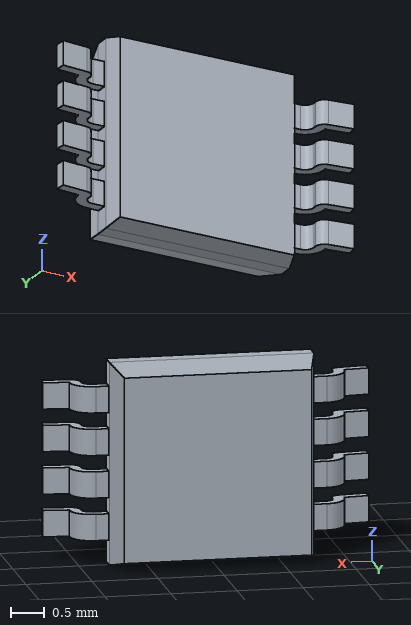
import cadquery as cq
import math

body_size = 3.1
total_height = 1.1
standoff = 0.05
band_bottom = 0.35
band_top = 0.60
draft_angle = 15.0

lead_span = 4.94
arm_top = 0.572
lead_width = 0.405
lead_thickness = 0.18
lead_pitch = 0.65
leads_per_side = 4
shank_outer_x = 2.08
shoulder_inner_radius = 0.15
heel_radius = 0.15
foot_angle = 6.0


def square_section(y, side):
    """Square wire centred on the Y axis, in the plane at height y."""
    half = side / 2
    return cq.Wire.makePolygon(
        [(-half, y, -half), (half, y, -half), (half, y, half), (-half, y, half)],
        close=True,
    )


def make_body():
    """Moulded body as a ruled loft through four square sections."""
    taper = math.tan(math.radians(draft_angle))
    lower_face_side = body_size - 2 * (band_bottom - standoff) * taper
    upper_face_side = body_size - 2 * (total_height - band_top) * taper
    sections = [
        square_section(standoff, lower_face_side),
        square_section(band_bottom, body_size),
        square_section(band_top, body_size),
        square_section(total_height, upper_face_side),
    ]
    return cq.Workplane(cq.Solid.makeLoft(sections, True))


def point_on_circle(center, radius, degrees):
    """Point of a circle in the XY plane, with the angle taken from +X towards +Y."""
    angle = math.radians(degrees)
    return (center[0] + radius * math.cos(angle), center[1] + radius * math.sin(angle))


def make_lead(z_center):
    """Lead on the +X side, extruded along Z from its bent profile."""
    slope = math.radians(foot_angle)
    sin_slope = math.sin(slope)
    cos_slope = math.cos(slope)
    tan_slope = math.tan(slope)

    root_x = body_size / 2
    arm_bottom = arm_top - lead_thickness
    shank_inner_x = shank_outer_x - lead_thickness
    shoulder_outer_radius = shoulder_inner_radius + lead_thickness
    shoulder_x = shank_inner_x - shoulder_inner_radius
    shoulder_y = arm_bottom - shoulder_inner_radius
    shoulder_center = (shoulder_x, shoulder_y)
    shoulder_mid_angle = 90 / 2

    tip_top_x = lead_span / 2
    tip_top_y = lead_thickness * cos_slope
    tip_bottom_x = tip_top_x - lead_thickness * sin_slope
    foot_corner_y = tip_top_y + (tip_top_x - shank_outer_x) * tan_slope

    heel_x = shank_inner_x + heel_radius
    heel_end_x = heel_x - heel_radius * sin_slope
    heel_end_y = (tip_bottom_x - heel_end_x) * tan_slope
    heel_y = heel_end_y + heel_radius * cos_slope
    heel_start_angle = 180
    heel_end_angle = 270 - foot_angle
    heel_mid_angle = (heel_start_angle + heel_end_angle) / 2

    profile = (
        cq.Workplane("XY", origin=(0, 0, z_center - lead_width / 2))
        .moveTo(root_x, arm_top)
        .lineTo(shoulder_x, arm_top)
        .threePointArc(
            point_on_circle(shoulder_center, shoulder_outer_radius, shoulder_mid_angle),
            (shank_outer_x, shoulder_y),
        )
        .lineTo(shank_outer_x, foot_corner_y)
        .lineTo(tip_top_x, tip_top_y)
        .lineTo(tip_bottom_x, 0)
        .lineTo(heel_end_x, heel_end_y)
        .threePointArc(
            point_on_circle((heel_x, heel_y), heel_radius, heel_mid_angle),
            (shank_inner_x, heel_y),
        )
        .lineTo(shank_inner_x, shoulder_y)
        .threePointArc(
            point_on_circle(shoulder_center, shoulder_inner_radius, shoulder_mid_angle),
            (shoulder_x, arm_bottom),
        )
        .lineTo(root_x, arm_bottom)
        .close()
    )
    return profile.extrude(lead_width)


result = make_body()
for index in range(leads_per_side):
    z_center = (index - (leads_per_side - 1) / 2) * lead_pitch
    lead = make_lead(z_center)
    result = result.union(lead).union(lead.mirror("YZ"))